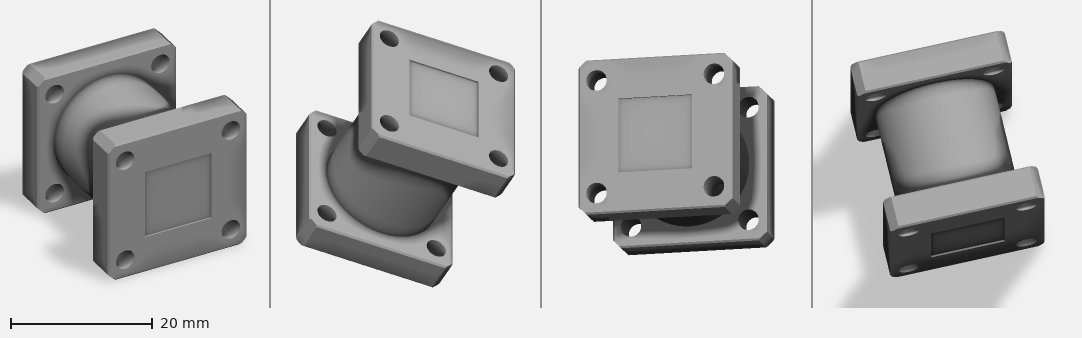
import cadquery as cq

length = 25.4
flange_side = 22.35
flange_thickness = 4.83
barrel_diameter = 17.27

corner_cut = 1.2
edge_chamfer = 0.25

hole_diameter = 2.97
hole_spacing_y = 17.02
hole_spacing_z = 16.3

recess_side = 10.7
recess_depth = 0.25


def flange(center_x):
    """Square flange with beveled sides and full-thickness corner cuts."""
    beveled_plate = (
        cq.Workplane("XY")
        .box(flange_thickness, flange_side, flange_side)
        .faces("<X or >X")
        .edges()
        .chamfer(edge_chamfer)
    )
    corner_envelope = (
        cq.Workplane("XY")
        .box(flange_thickness, flange_side, flange_side)
        .edges("|X")
        .chamfer(corner_cut)
    )
    return beveled_plate.intersect(corner_envelope).translate((center_x, 0, 0))


def barrel():
    """Solid round body reaching between the inner flange faces."""
    barrel_length = length - 2 * flange_thickness
    return cq.Workplane("YZ").circle(barrel_diameter / 2).extrude(barrel_length / 2, both=True)


def bolt_holes():
    """Cutters for the four holes through both flanges."""
    return (
        cq.Workplane("YZ")
        .rect(hole_spacing_y, hole_spacing_z, forConstruction=True)
        .vertices()
        .circle(hole_diameter / 2)
        .extrude(length / 2, both=True)
    )


def square_recess(side):
    """Cutter for the recess in one end face; side is -1 or +1 along X."""
    return (
        cq.Workplane("YZ", origin=(side * length / 2, 0, 0))
        .rect(recess_side, recess_side)
        .extrude(-side * recess_depth)
    )


flange_offset = (length - flange_thickness) / 2

result = barrel()
for side in (-1, 1):
    result = result.union(flange(side * flange_offset))
    result = result.cut(square_recess(side))
result = result.cut(bolt_holes())